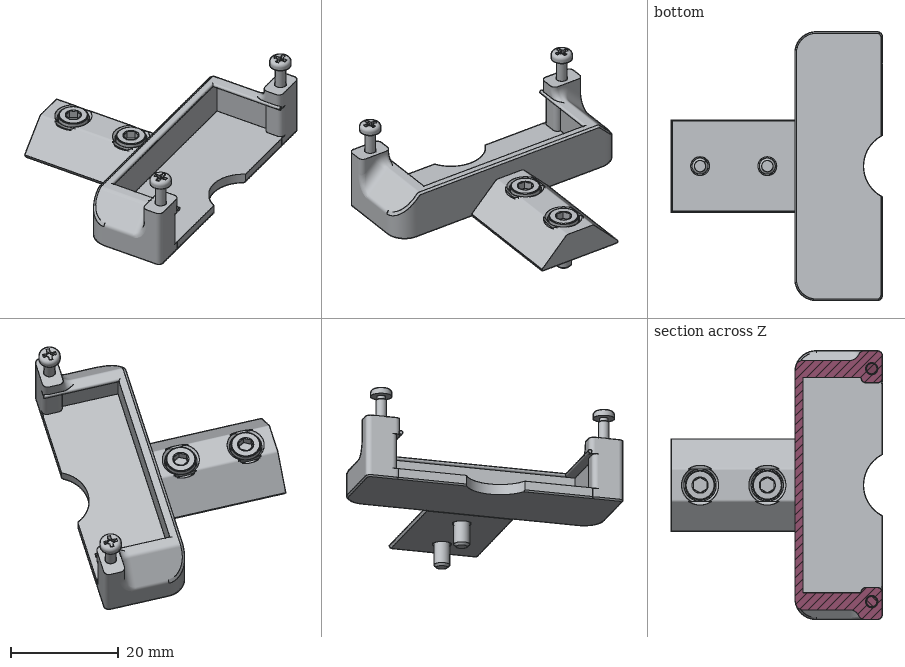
import cadquery as cq
import math


overshoot = 0.5
pick_margin = 0.05

tray_length = 50.0
tray_width = 16.3
wall_top = 9.5
floor_thickness = 2.0
corner_radius = 4.0
bottom_chamfer = 0.3
rim_chamfer_depth = 0.3
rim_chamfer_height = 0.5
left_wall = 1.55
cavity_half = 20.0
lip_thickness = 0.7
ridge_radius = lip_thickness / 2
half_length = tray_length / 2

post_top = 12.0
post_width = 4.0
post_depth = 6.6
post_round = 1.0
post_sweep_radius = 2.0
post_foot_half = 19.0
post_left = tray_width - post_width
post_inner = half_length - post_depth
slope_start = 20.4
slope_end = wall_top - (half_length - slope_start)

bite_radius = 6.4
bite_depth = 3.5

rail_length = 23.0
rail_height = 6.25
rail_half_base = 8.6
rail_side_height = 0.65
rail_side_inset = 0.25
rail_edge_round = 0.65
rail_half_top = rail_half_base - (rail_height - rail_side_height)

bolt_places = (-17.6, -5.1)
bolt_diameter = 3.0
bolt_hole_diameter = 3.5
bolt_tip = -4.5
bolt_tip_chamfer = 0.45
bolt_head_diameter = 5.5
bolt_head_height = 3.0
bolt_head_base = 3.5
bolt_head_chamfer = 0.15
hex_flats = 2.5
hex_depth = 1.5
hex_mouth_diameter = 3.0
hex_mouth_depth = 0.1
counterbore_diameter = 6.0
counterbore_chamfer = 0.45
flank_chamfer_radius = 3.7
flank_chamfer_bottom = 5.25
flank_chamfer_height = 0.35

screw_x = tray_width - post_width / 2
screw_y = 21.65
screw_diameter = 2.0
screw_hole_diameter = 2.2
screw_neck_diameter = 1.6
screw_tip = 6.0
screw_neck_base = 15.8
screw_head_diameter = 4.0
screw_head_base = 16.5
screw_head_height = 1.35
screw_head_round = 0.7
recess_depth = 0.75
recess_arm_width = 0.6
recess_top_length = 2.5
recess_floor_length = 1.4
recess_core_width = 1.15


def block(x_range, y_range, z_range):
    """A box between the given limits."""
    return cq.Workplane("XY").box(
        x_range[1] - x_range[0],
        y_range[1] - y_range[0],
        z_range[1] - z_range[0],
        centered=False,
    ).translate((x_range[0], y_range[0], z_range[0]))


def cylinder(x, y, z_range, diameter):
    """An upright cylinder."""
    return (
        cq.Workplane("XY", origin=(x, y, z_range[0]))
        .circle(diameter / 2)
        .extrude(z_range[1] - z_range[0])
    )


def mirrored(half):
    """A feature of the +Y side together with its mirror image."""
    return half.union(half.mirror("XZ"))


def end_block():
    """The solid +Y end: wall, 45 degree slope, post and the roundings that join them."""
    wall = (
        cq.Workplane("YZ")
        .polyline([
            (post_inner, 0),
            (half_length, 0),
            (half_length, slope_end),
            (slope_start, wall_top),
            (post_inner, wall_top),
        ])
        .close()
        .extrude(tray_width)
    )
    slope_edge = (tray_width / 2, slope_start, wall_top)
    wall = wall.edges(cq.selectors.NearestToPointSelector(slope_edge)).fillet(post_round)
    post = block((post_left, tray_width), (post_inner, half_length), (0, post_top))
    foot_edges = cq.selectors.BoxSelector(
        (post_left - pick_margin, post_inner + pick_margin, slope_end),
        (post_left + pick_margin, half_length - pick_margin, wall_top + pick_margin),
    )
    solid = wall.union(post).edges(foot_edges).fillet(post_sweep_radius)
    picks = (
        (post_left, post_inner, post_top),
        (post_left, half_length, (slope_end + post_top) / 2),
        (tray_width, post_inner, post_top / 2),
    )
    upright = solid.edges("|Z")
    edges = [upright.edges(cq.selectors.NearestToPointSelector(pick)).val() for pick in picks]
    solid = solid.newObject(edges).fillet(post_round)
    return solid


def cavity():
    """The space below the lip, which leaves a rounded foot under each post."""
    top = wall_top - lip_thickness
    space = block((left_wall, tray_width), (-cavity_half, cavity_half), (floor_thickness, top))
    foot = block((post_left, tray_width), (post_foot_half, half_length), (0, top))
    return space.cut(mirrored(foot.edges("|Z").fillet(post_round)))


def lip():
    """The overhanging rim of the +Y wall up to the post."""
    return block(
        (0, post_left + post_round),
        (post_inner, slope_start - post_round),
        (wall_top - lip_thickness, wall_top),
    )


def ridge():
    """The half-round ridge along the inner edge of the rim."""
    z = wall_top - ridge_radius
    left_ridge = (
        cq.Workplane("XZ", origin=(left_wall, post_inner, z))
        .circle(ridge_radius)
        .extrude(2 * post_inner)
    )
    side_ridge = (
        cq.Workplane("YZ", origin=(left_wall, post_inner, z))
        .circle(ridge_radius)
        .extrude(tray_width - left_wall)
    )
    corner = cq.Workplane("XY", origin=(left_wall, post_inner, z)).sphere(ridge_radius)
    return left_ridge.union(mirrored(side_ridge.union(corner)))


def outline():
    """The rounded prism around the tray and its posts, chamfered around the bottom."""
    prism = block((0, tray_width), (-half_length, half_length), (0, post_top))
    prism = prism.edges("|Z and <X").fillet(corner_radius)
    prism = prism.edges("|Z and >X").fillet(post_round)
    return prism.faces("<Z").chamfer(bottom_chamfer)


def rim_envelope():
    """The part of the outline beside the posts, under the slopes, with its chamfered rim."""
    half_section = [(half_length, 0), (half_length, slope_end), (slope_start, wall_top)]
    section = half_section + [(-y, z) for y, z in reversed(half_section)]
    roof = cq.Workplane("YZ").polyline(section).close().extrude(tray_width)
    for y in (-slope_start, slope_start):
        crest = cq.selectors.NearestToPointSelector((tray_width / 2, y, wall_top))
        roof = roof.edges(crest).fillet(post_round)
    envelope = roof.intersect(outline())
    return envelope.faces("<X").edges(">Z").chamfer(rim_chamfer_height, rim_chamfer_depth)


def tray_shell():
    """The tray: floor, left wall and end blocks inside the outline, with the lip and its ridge."""
    left = block((0, left_wall), (-post_inner - overshoot, post_inner + overshoot), (0, wall_top))
    floor = block((0, tray_width), (-post_inner - overshoot, post_inner + overshoot), (0, floor_thickness))
    shell = left.union(floor).union(mirrored(end_block())).intersect(outline())
    shell = shell.cut(cavity()).union(mirrored(lip())).union(ridge())
    beside_corners = block((corner_radius, tray_width), (-half_length, half_length), (0, post_top))
    return shell.intersect(rim_envelope().union(beside_corners))


def rail():
    """The trapezoidal rail that leaves the tray's left face."""
    half_profile = [
        (rail_half_base - rail_side_inset, 0),
        (rail_half_base, rail_side_height),
        (rail_half_top, rail_height),
    ]
    profile = half_profile + [(-y, z) for y, z in reversed(half_profile)]
    bar = cq.Workplane("YZ", origin=(-rail_length, 0, 0)).polyline(profile).close().extrude(rail_length)
    bar = bar.faces("<Z").edges("<X").chamfer(bottom_chamfer)
    return bar.edges("|X and >Z").fillet(rail_edge_round)


def bolt_hole(x):
    """A clearance hole with a chamfered counterbore; the chamfer is wider on the rail's flanks."""
    hole = cylinder(x, 0, (0, bolt_head_base), bolt_hole_diameter)
    above_rail = rail_height + overshoot
    counterbore = cylinder(x, 0, (bolt_head_base, above_rail), counterbore_diameter)
    radius = counterbore_diameter / 2
    chamfer = (
        cq.Workplane("XY", origin=(x, 0, rail_height - counterbore_chamfer))
        .circle(radius)
        .workplane(offset=counterbore_chamfer)
        .circle(radius + counterbore_chamfer)
        .loft()
    )
    flank_chamfer_top = flank_chamfer_bottom + flank_chamfer_height
    flank_cone = (
        cq.Workplane("XY", origin=(x, 0, flank_chamfer_bottom))
        .circle(radius)
        .workplane(offset=flank_chamfer_height)
        .circle(flank_chamfer_radius)
        .loft()
    )
    flank = flank_cone.union(cylinder(x, 0, (flank_chamfer_top, above_rail), 2 * flank_chamfer_radius))
    over_flank = block(
        (x - flank_chamfer_radius, x + flank_chamfer_radius),
        (rail_half_top, rail_half_base),
        (0, above_rail),
    )
    return hole.union(counterbore).union(chamfer).union(flank.intersect(mirrored(over_flank)))


def housing():
    """The tray with its rail, the floor's bite and the holes for all the screws and bolts."""
    body = tray_shell().union(rail())
    bite = cylinder(tray_width - bite_depth + bite_radius, 0, (0, post_top), 2 * bite_radius)
    body = body.cut(bite)
    for x in bolt_places:
        body = body.cut(bolt_hole(x))
    for y in (-screw_y, screw_y):
        body = body.cut(cylinder(screw_x, y, (screw_tip, post_top), screw_hole_diameter))
    return body


def bolt(x):
    """A cap screw with a hexagon socket."""
    head_top = bolt_head_base + bolt_head_height
    shank = cylinder(x, 0, (bolt_tip, bolt_head_base), bolt_diameter).faces("<Z").chamfer(bolt_tip_chamfer)
    head = cylinder(x, 0, (bolt_head_base, head_top), bolt_head_diameter).faces(">Z").chamfer(bolt_head_chamfer)
    hex_corner_diameter = hex_flats / math.cos(math.pi / 6)
    socket = (
        cq.Workplane("XY", origin=(x, 0, head_top))
        .transformed(rotate=(0, 0, 30))
        .polygon(6, hex_corner_diameter)
        .extrude(-hex_depth)
    )
    mouth = (
        cq.Workplane("XY", origin=(x, 0, head_top))
        .circle(hex_mouth_diameter / 2)
        .workplane(offset=-hex_mouth_depth)
        .circle(hex_flats / 2)
        .loft()
    )
    return shank.union(head).cut(socket).cut(mouth)


def cross_recess(x, y, top):
    """A cross recess whose four arms slope inward, with a square core on its corners."""
    half_top = recess_top_length / 2
    half_floor = recess_floor_length / 2
    arm = (
        cq.Workplane("XZ", origin=(0, recess_arm_width / 2, 0))
        .polyline([(-half_top, 0), (half_top, 0), (half_floor, -recess_depth), (-half_floor, -recess_depth)])
        .close()
        .extrude(recess_arm_width)
    )
    cross_arm = arm.rotate((0, 0, 0), (0, 0, 1), 90)
    core = (
        cq.Workplane("XY")
        .rect(recess_core_width, recess_core_width)
        .extrude(-recess_depth)
        .rotate((0, 0, 0), (0, 0, 1), 45)
    )
    return arm.union(cross_arm).union(core).translate((x, y, top))


def post_screw(y):
    """A pan-head screw, not yet driven home into its post."""
    head_top = screw_head_base + screw_head_height
    thread = cylinder(screw_x, y, (screw_tip, screw_neck_base), screw_diameter)
    neck = cylinder(screw_x, y, (screw_neck_base, screw_head_base), screw_neck_diameter)
    head = cylinder(screw_x, y, (screw_head_base, head_top), screw_head_diameter)
    head = head.faces(">Z").edges().fillet(screw_head_round)
    return thread.union(neck).union(head).cut(cross_recess(screw_x, y, head_top))


tray_with_rail = housing()
bolts = [bolt(x) for x in bolt_places]
screws = [post_screw(y) for y in (-screw_y, screw_y)]
result = cq.Compound.makeCompound(
    [tray_with_rail.val()] + [fastener.val() for fastener in bolts + screws]
)